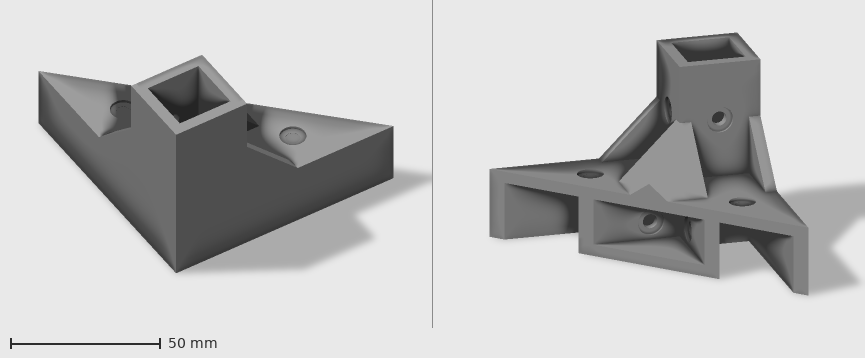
import cadquery as cq


arm_length = 86.0
height = 64.0
post_width = 28.0
tube_width = 20.0
gusset_size = 20.0

wall = (post_width - tube_width) / 2
tube_center = post_width / 2
arm_height = tube_width + wall

pocket_length = 30.0
pocket_height = tube_width - wall

screw_diameter = 5.0
head_diameter = 9.0
head_depth = 1.0
blind_step = 0.1
plate_screw_distance = 55.0
pocket_screw_distance = 38.0
pocket_screw_height = tube_width / 2
post_screw_height = (arm_height + height) / 2


def block(x, y, z, length, width, tall):
    """Box reaching from (x, y, z) toward -X, +Y and +Z."""
    return cq.Workplane("XY").box(length, width, tall, centered=False).translate((x - length, y, z))


def swap_arms(shape):
    """Copy a shape from the -X arm to the +Y arm: (x, y, z) becomes (-y, -x, z)."""
    return shape.mirror("YZ").rotate((0, 0, 0), (0, 0, 1), 90)


def triangle_prism(tall):
    """Right triangle with its square corner at the origin."""
    corners = [(0, 0), (-arm_length, 0), (0, arm_length)]
    return cq.Workplane("XY").polyline(corners).close().extrude(tall)


def screw_hole(point, direction, depth):
    """Counterbored hole starting at a point on a surface."""
    start = cq.Vector(*point)
    axis = cq.Vector(*direction)
    head = cq.Solid.makeCylinder(head_diameter / 2, head_depth, start, axis)
    shank = cq.Solid.makeCylinder(screw_diameter / 2, depth, start, axis)
    return cq.Workplane(head.fuse(shank))


def gusset(y_start, y_end):
    """Gusset sloping from the post down to the -X arm."""
    foot = -post_width - gusset_size
    top = arm_height + gusset_size
    profile = [(foot, arm_height), (-post_width, top), (-tube_center, top), (-tube_center, arm_height)]
    sketch = cq.Workplane("XZ", origin=(0, y_start, 0)).polyline(profile).close()
    return sketch.extrude(y_start - y_end)


def arm_cuts():
    """Tube channel and screw holes belonging to the -X arm."""
    channel = block(-post_width, wall, 0, arm_length, tube_width, tube_width)
    plate_screw = screw_hole(
        (-plate_screw_distance, tube_center, arm_height), (0, 0, -1), head_depth + blind_step
    )
    pocket_screw = screw_hole((-post_width, pocket_screw_distance, pocket_screw_height), (1, 0, 0), wall)
    post_screw = screw_hole((-post_width, tube_center, post_screw_height), (1, 0, 0), wall)
    return [channel, plate_screw, pocket_screw, post_screw]


body = triangle_prism(arm_height)
body = body.union(block(0, 0, 0, post_width, post_width, height))

outer_gusset = gusset(0, wall)
body = body.union(outer_gusset).union(swap_arms(outer_gusset))

inner_slope = gusset(post_width - wall, post_width + gusset_size)
inner_gusset = inner_slope.intersect(swap_arms(inner_slope)).intersect(triangle_prism(height))
body = body.union(inner_gusset)

body = body.cut(block(-wall, wall, 0, tube_width, tube_width, height))

body = body.cut(block(-post_width, post_width, wall, pocket_length, pocket_length, pocket_height))

for cutter in arm_cuts():
    body = body.cut(cutter).cut(swap_arms(cutter))

result = body